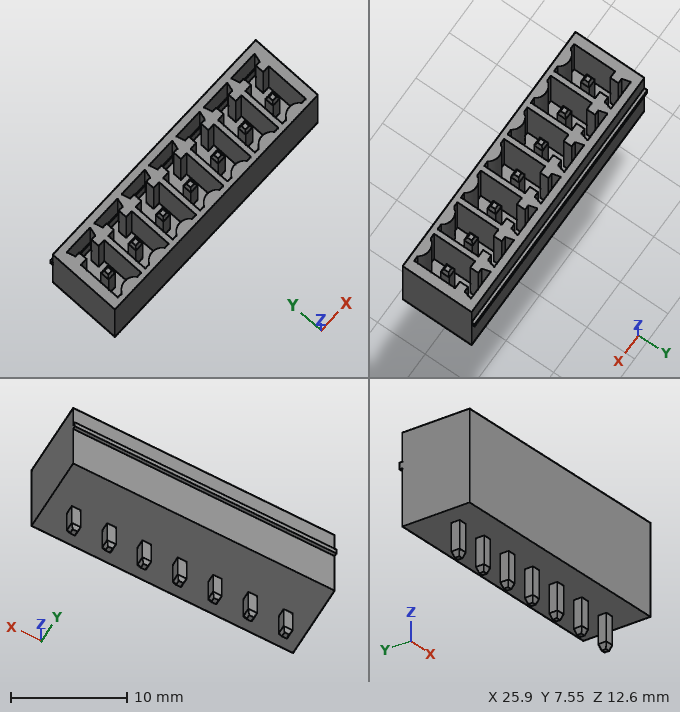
import cadquery as cq

BODY_LENGTH = 25.9
BODY_DEPTH = 7.25
BODY_HEIGHT = 9.2

RIB_PROJECTION = 0.3
RIB_HEIGHT = 0.65
RIB_BOTTOM = 5.7

POLE_COUNT = 7
POLE_PITCH = 3.5
FIRST_POLE_X = (BODY_LENGTH - (POLE_COUNT - 1) * POLE_PITCH) / 2

POCKET_WIDTH = 2.98
POCKET_DEPTH = 7.0
POCKET_FRONT_Y = 0.55
POCKET_REAR_Y = 6.5
KEY_FRONT_Y = 4.85
KEY_REAR_Y = 5.7
THROAT_WIDTH = 1.55
KEY_REAR_WIDTH = 2.55
BUMP_WIDTH = 1.95
BUMP_RISE = 0.55
REAR_LEDGE_DEPTH = 0.08
REAR_LEDGE_HEIGHT = 2.07

PIN_SIZE = 0.88
PIN_TIP_SIZE = 0.47
PIN_TAPER = 0.6
PIN_Y = 3.03
PIN_BELOW_BODY = 3.4
PIN_BELOW_RIM = 1.53


def make_body():
    """Plain housing block with the locating rib on its rear wall."""
    block = cq.Workplane("XY").box(BODY_LENGTH, BODY_DEPTH, BODY_HEIGHT, centered=False)
    rib = (
        cq.Workplane("XY")
        .box(BODY_LENGTH, RIB_PROJECTION, RIB_HEIGHT, centered=False)
        .translate((0, BODY_DEPTH, RIB_BOTTOM))
    )
    return block.union(rib)


def make_pocket(x):
    """Keyed pocket volume with a bump in front and a low ledge at the rear."""
    half = POCKET_WIDTH / 2
    half_throat = THROAT_WIDTH / 2
    half_key_rear = KEY_REAR_WIDTH / 2
    half_bump = BUMP_WIDTH / 2
    floor_z = BODY_HEIGHT - POCKET_DEPTH
    pocket = (
        cq.Workplane("XY")
        .moveTo(-half, POCKET_FRONT_Y)
        .lineTo(-half_bump, POCKET_FRONT_Y)
        .threePointArc((0, POCKET_FRONT_Y + BUMP_RISE), (half_bump, POCKET_FRONT_Y))
        .lineTo(half, POCKET_FRONT_Y)
        .lineTo(half, KEY_FRONT_Y)
        .lineTo(half_throat, KEY_FRONT_Y)
        .lineTo(half_throat, KEY_REAR_Y)
        .lineTo(half_key_rear, KEY_REAR_Y)
        .lineTo(half, POCKET_REAR_Y)
        .lineTo(-half, POCKET_REAR_Y)
        .lineTo(-half_key_rear, KEY_REAR_Y)
        .lineTo(-half_throat, KEY_REAR_Y)
        .lineTo(-half_throat, KEY_FRONT_Y)
        .lineTo(-half, KEY_FRONT_Y)
        .close()
        .extrude(POCKET_DEPTH)
    )
    ledge = (
        cq.Workplane("XY")
        .box(POCKET_WIDTH, REAR_LEDGE_DEPTH, REAR_LEDGE_HEIGHT, centered=(True, False, False))
        .translate((0, POCKET_REAR_Y - REAR_LEDGE_DEPTH, 0))
    )
    return pocket.cut(ledge).translate((x, 0, floor_z))


def make_pin(x):
    """Square pin running from below the housing up into the pocket."""
    shank_bottom = PIN_TAPER - PIN_BELOW_BODY
    shank_top = BODY_HEIGHT - PIN_BELOW_RIM - PIN_TAPER
    shank = cq.Workplane("XY").rect(PIN_SIZE, PIN_SIZE).extrude(shank_top - shank_bottom)
    pin = shank
    for end_face in (">Z", "<Z"):
        tip = (
            shank.faces(end_face).workplane()
            .rect(PIN_SIZE, PIN_SIZE)
            .workplane(offset=PIN_TAPER)
            .rect(PIN_TIP_SIZE, PIN_TIP_SIZE)
            .loft(combine=False)
        )
        pin = pin.union(tip)
    return pin.translate((x, PIN_Y, shank_bottom))


result = make_body()
for pole in range(POLE_COUNT):
    pole_x = FIRST_POLE_X + pole * POLE_PITCH
    result = result.cut(make_pocket(pole_x)).union(make_pin(pole_x))